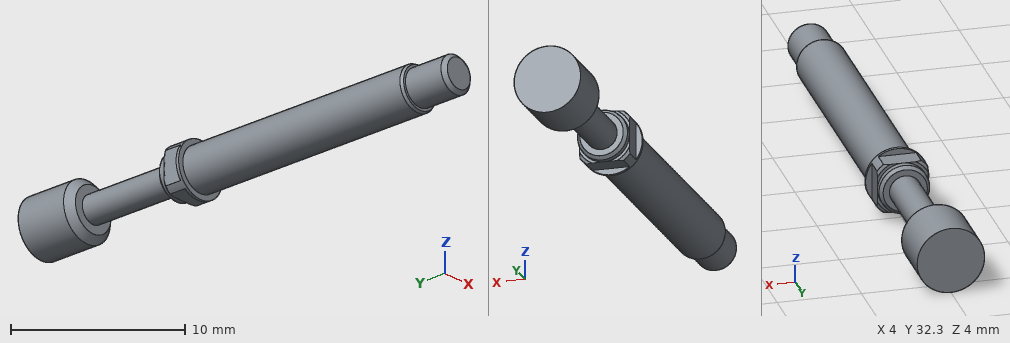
import cadquery as cq

total_length = 32.3

tail_diameter = 2.5
tail_length = 3.0
tail_chamfer = 0.25

barrel_diameter = 3.0
barrel_length = 17.0
barrel_chamfer_depth = 0.1
barrel_chamfer_length = 0.2

flange_diameter = 3.75
flange_thickness = 0.2

collar_height = 2.0
collar_chamfer = 0.2

square_width = barrel_diameter
square_corner_diameter = flange_diameter
square_height = 1.45
square_bevel_depth = 0.2
square_bevel_length = 0.1

plunger_diameter = 1.87

head_diameter = 4.0
head_length = 4.0
head_chamfer = 0.5

flange_seat = tail_length + barrel_length
collar_end = flange_seat + collar_height
head_start = total_length - head_length


def cylinder(diameter, start, end):
    """Solid cylinder on the Y axis between two axial positions."""
    plane = cq.Workplane("XZ", origin=(0, start, 0))
    return plane.circle(diameter / 2).extrude(start - end)


def make_tail():
    return cylinder(tail_diameter, 0, flange_seat).faces("<Y").chamfer(tail_chamfer)


def make_barrel():
    """Barrel and collar share one diameter, with a bevel at each end."""
    radius = barrel_diameter / 2
    return (
        cq.Workplane("XY")
        .moveTo(0, tail_length)
        .lineTo(radius - barrel_chamfer_depth, tail_length)
        .lineTo(radius, tail_length + barrel_chamfer_length)
        .lineTo(radius, collar_end - collar_chamfer)
        .lineTo(radius - collar_chamfer, collar_end)
        .lineTo(0, collar_end)
        .close()
        .revolve(360, (0, 0), (0, 1))
    )


def make_square():
    """Wrench square whose corners are turned round and bevelled."""
    square_end = flange_seat + square_height
    radius = square_corner_diameter / 2
    turned_blank = (
        cq.Workplane("XY")
        .moveTo(0, flange_seat)
        .lineTo(radius, flange_seat)
        .lineTo(radius, square_end - square_bevel_length)
        .lineTo(radius - square_bevel_depth, square_end)
        .lineTo(0, square_end)
        .close()
        .revolve(360, (0, 0), (0, 1))
    )
    square_bar = (
        cq.Workplane("XZ", origin=(0, flange_seat, 0))
        .rect(square_width, square_width)
        .extrude(-square_height)
    )
    return turned_blank.intersect(square_bar)


def make_flange():
    return cylinder(flange_diameter, flange_seat, flange_seat + flange_thickness)


def make_plunger():
    rod = cylinder(plunger_diameter, flange_seat, total_length)
    head = cylinder(head_diameter, head_start, total_length)
    return rod.union(head.faces("<Y").chamfer(head_chamfer))


result = (
    make_barrel()
    .union(make_tail())
    .union(make_square())
    .union(make_flange())
    .union(make_plunger())
)